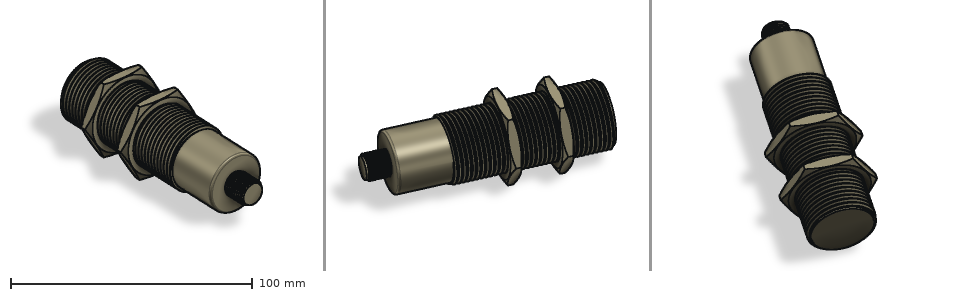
import cadquery as cq
import math

total_length = 106.4
thread_start = 1.1
thread_end = 71.3
body_end = 95.4
connector_thread_end = 105.3

cap_radius = 13.6
body_radius = 13.8
body_end_fillet = 1.0
connector_core_radius = 5.3
connector_tip_radius = 5.1

barrel_crest_radius = 15.0
barrel_turns = 35
barrel_pitch = (thread_end - thread_start) / barrel_turns
barrel_root_width = 1.6
barrel_crest_width = 0.3
barrel_phase = 0.65

connector_crest_radius = 6.0
connector_turns = 8
connector_pitch = (connector_thread_end - body_end) / connector_turns
connector_root_width = 1.1
connector_crest_width = 0.2
connector_phase = 0.4

across_flats = 36.0
nut_thickness = 5.0
nut_face_radius = 17.8
nut_corner_bevel = 1.4
first_nut_start = 19.9
nut_spacing = 22.8
nut_count = 2

root_overlap = 0.1


def cylinder_along_x(radius, start, end):
    return cq.Workplane("YZ", origin=(start, 0, 0)).circle(radius).extrude(end - start)


def thread_ridge(core_radius, crest_radius, pitch, root_width, crest_width, start, end, phase):
    """Right-handed helical ridge around X, trimmed flat at both ends.

    The helix begins one pitch before the start, at the given fraction of a turn from +Y to +Z.
    """
    spare_turns = 2
    turns = math.ceil((end - start) / pitch) + spare_turns
    slope = (root_width - crest_width) / 2 / (crest_radius - core_radius)
    base_radius = core_radius - root_overlap
    base_half_width = root_width / 2 + slope * root_overlap
    helix = cq.Wire.makeHelix(pitch, turns * pitch, core_radius)
    ridge = (
        cq.Workplane("XZ")
        .polyline(
            [
                (base_radius, -base_half_width),
                (crest_radius, -crest_width / 2),
                (crest_radius, crest_width / 2),
                (base_radius, base_half_width),
            ]
        )
        .close()
        .sweep(cq.Workplane(obj=helix), isFrenet=True)
        .rotate((0, 0, 0), (1, 1, 1), 120)
        .rotate((0, 0, 0), (1, 0, 0), 360 * phase)
        .translate((start - pitch, 0, 0))
    )
    trimming_cylinder = cylinder_along_x(2 * crest_radius, start, end)
    return ridge.intersect(trimming_cylinder)


def make_housing():
    """Threaded barrel with a plain rear sleeve, a slim front cap and a threaded connector."""
    cap = cylinder_along_x(cap_radius, 0, thread_start)
    body = cylinder_along_x(body_radius, thread_start, body_end)
    body = body.faces(">X").edges().fillet(body_end_fillet)
    connector_core = cylinder_along_x(connector_core_radius, body_end, connector_thread_end)
    connector_tip = cylinder_along_x(connector_tip_radius, connector_thread_end, total_length)
    barrel_thread = thread_ridge(
        body_radius,
        barrel_crest_radius,
        barrel_pitch,
        barrel_root_width,
        barrel_crest_width,
        thread_start,
        thread_end,
        barrel_phase,
    )
    connector_thread = thread_ridge(
        connector_core_radius,
        connector_crest_radius,
        connector_pitch,
        connector_root_width,
        connector_crest_width,
        body_end,
        connector_thread_end,
        connector_phase,
    )
    connector = connector_core.union(connector_tip).union(connector_thread)
    return cap.union(body).union(barrel_thread).union(connector)


def make_nut(start):
    """Hex nut with flats facing +Z and -Z and both faces bevelled at the corners."""
    corner_radius = across_flats / math.sqrt(3)
    hexagon = cq.Workplane("YZ").polygon(6, 2 * corner_radius).extrude(nut_thickness)
    bevel_envelope = (
        cq.Workplane("XY")
        .polyline(
            [
                (0, 0),
                (0, nut_face_radius),
                (nut_corner_bevel, corner_radius),
                (nut_thickness - nut_corner_bevel, corner_radius),
                (nut_thickness, nut_face_radius),
                (nut_thickness, 0),
            ]
        )
        .close()
        .revolve(360, (0, 0, 0), (1, 0, 0))
    )
    bore = cylinder_along_x(barrel_crest_radius, 0, nut_thickness)
    return hexagon.intersect(bevel_envelope).cut(bore).translate((start, 0, 0))


housing = make_housing()
nuts = [make_nut(first_nut_start + i * nut_spacing) for i in range(nut_count)]

result = cq.Compound.makeCompound([housing.val(), *[nut.val() for nut in nuts]])